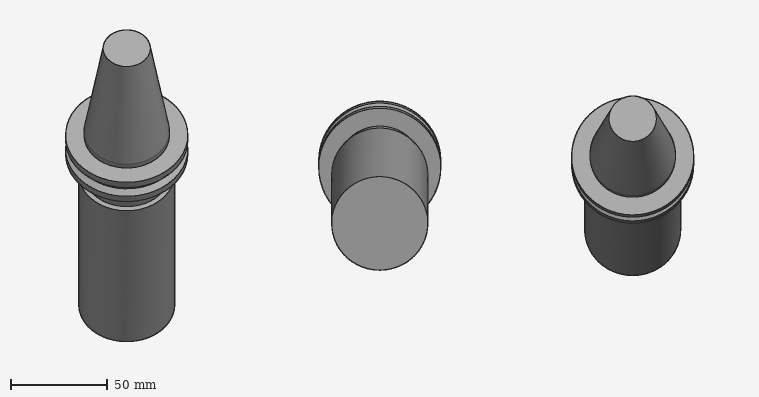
import cadquery as cq

gauge_diameter = 44.45
taper_length = 68.25
taper_ratio = 7 / 24
small_end_diameter = gauge_diameter - taper_length * taper_ratio

flange_diameter = 63.5
flange_top = -3.18
flange_bottom = -19.05
groove_root_diameter = 56.36
groove_mouth_width = 7.2
groove_root_width = 3.7

neck_diameter = gauge_diameter
neck_bottom = -35.0
body_diameter = 50.0
body_length = 108.0

groove_center = (flange_top + flange_bottom) / 2
mouth_top = groove_center + groove_mouth_width / 2
mouth_bottom = groove_center - groove_mouth_width / 2
root_top = groove_center + groove_root_width / 2
root_bottom = groove_center - groove_root_width / 2


def make_holder():
    """Taper, grooved flange and neck, revolved as one solid around Z."""
    gauge_radius = gauge_diameter / 2
    flange_radius = flange_diameter / 2
    root_radius = groove_root_diameter / 2
    neck_radius = neck_diameter / 2
    half_profile = [
        (0, taper_length),
        (small_end_diameter / 2, taper_length),
        (gauge_radius, 0),
        (gauge_radius, flange_top),
        (flange_radius, flange_top),
        (flange_radius, mouth_top),
        (root_radius, root_top),
        (root_radius, root_bottom),
        (flange_radius, mouth_bottom),
        (flange_radius, flange_bottom),
        (neck_radius, flange_bottom),
        (neck_radius, neck_bottom),
        (0, neck_bottom),
    ]
    return cq.Workplane("XZ").polyline(half_profile).close().revolve(360, (0, 0, 0), (0, 1, 0))


def make_body():
    """Plain cylinder hanging from the end face of the neck."""
    end_face = cq.Workplane("XY").workplane(offset=neck_bottom)
    return end_face.circle(body_diameter / 2).extrude(-body_length)


holder = make_holder()
body = make_body()

result = cq.Compound.makeCompound([holder.val(), body.val()])